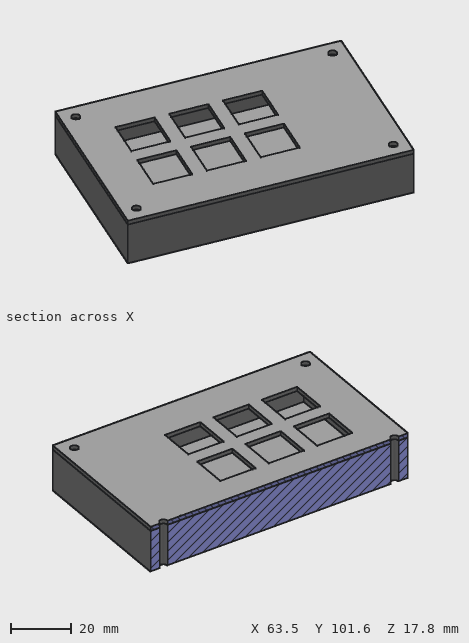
import cadquery as cq

WIDTH = 63.5
LENGTH = 101.6
CASE_HEIGHT = 16.2
LID_THICKNESS = 1.6

WALL = 7.3
FLOOR = 4.7

SCREW_HOLE_DIAMETER = 2.9
SCREW_HOLE_INSET = 5.2

KEY_OPENING = 13.9
KEY_PITCH = 19.1
KEY_COLUMNS = 2
KEY_ROWS = 3
KEY_GRID_CENTER_Y = -KEY_PITCH / 2


def plate(thickness, bottom_z):
    """Block with the enclosure outline, centred on X and Y."""
    return (
        cq.Workplane("XY")
        .workplane(offset=bottom_z)
        .rect(WIDTH, LENGTH)
        .extrude(thickness)
    )


def drill_screw_holes(body):
    """Cut the four corner screw holes all the way through a body."""
    return (
        body.faces(">Z")
        .workplane(origin=(0, 0, 0))
        .rect(WIDTH - 2 * SCREW_HOLE_INSET, LENGTH - 2 * SCREW_HOLE_INSET, forConstruction=True)
        .vertices()
        .hole(SCREW_HOLE_DIAMETER)
    )


def make_case():
    """Tray with thick walls that carry the screw holes."""
    cavity = (
        cq.Workplane("XY")
        .workplane(offset=FLOOR)
        .rect(WIDTH - 2 * WALL, LENGTH - 2 * WALL)
        .extrude(CASE_HEIGHT - FLOOR)
    )
    return drill_screw_holes(plate(CASE_HEIGHT, 0).cut(cavity))


def make_lid():
    """Flat lid with a grid of key openings."""
    key_openings = (
        cq.Workplane("XY")
        .workplane(offset=CASE_HEIGHT)
        .center(0, KEY_GRID_CENTER_Y)
        .rarray(KEY_PITCH, KEY_PITCH, KEY_COLUMNS, KEY_ROWS)
        .rect(KEY_OPENING, KEY_OPENING)
        .extrude(LID_THICKNESS)
    )
    return drill_screw_holes(plate(LID_THICKNESS, CASE_HEIGHT).cut(key_openings))


case = make_case()
lid = make_lid()

result = cq.Compound.makeCompound([case.val(), lid.val()])